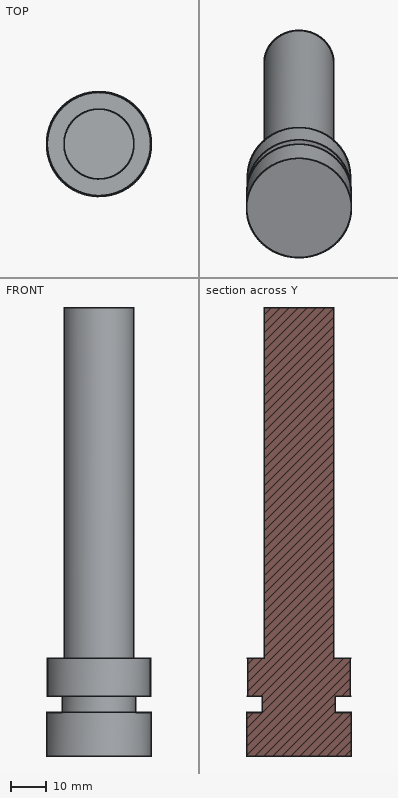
import cadquery as cq

total_length = 128.0

base_diameter = 30.0
base_height = 12.5

neck_diameter = 21.0
neck_height = 4.6

collar_diameter = 29.5
collar_height = 10.9

rod_diameter = 20.0
rod_length = total_length - base_height - neck_height - collar_height


def add_cylinder(body, diameter, height):
    """Stack a coaxial cylinder on the top face of the body."""
    return body.faces(">Z").workplane().circle(diameter / 2).extrude(height)


result = cq.Workplane("XY").circle(base_diameter / 2).extrude(base_height)
result = add_cylinder(result, neck_diameter, neck_height)
result = add_cylinder(result, collar_diameter, collar_height)
result = add_cylinder(result, rod_diameter, rod_length)